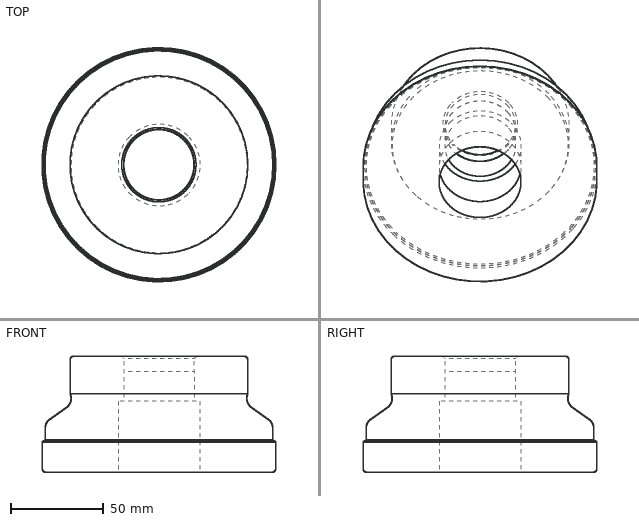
import cadquery as cq
import math

TOTAL_HEIGHT = 63.0
BASE_HEIGHT = 17.0

BASE_RADIUS = 63.5
BASE_TOP_CHAMFER = 0.8
BASE_BOTTOM_FILLET = 2.0

RIM_RADIUS = 61.8
FOOT_FLARE = 0.6
RIM_TOP_Z = 24.0
SHOULDER_RADIUS = 5.7
CONE_ANGLE = math.radians(35.4)
THROAT_RADIUS = 47.8
THROAT_FILLET = 6.1
NECK_RADIUS = 48.3
NECK_FILLET = 1.9

BORE_RADIUS = 19.0
BORE_CHAMFER = 1.1
LIP_DEPTH = 8.3
BORE_RELIEF = 0.1
CAVITY_RADIUS = 22.2
CAVITY_TOP_Z = 38.9


def make_base():
    """Plain ring with a chamfered top edge and a rounded bottom edge."""
    ring = cq.Workplane("XY").circle(BASE_RADIUS).extrude(BASE_HEIGHT)
    ring = ring.faces(">Z").edges().chamfer(BASE_TOP_CHAMFER)
    ring = ring.faces("<Z").edges().fillet(BASE_BOTTOM_FILLET)
    return ring.cut(cq.Workplane("XY").circle(CAVITY_RADIUS).extrude(BASE_HEIGHT))


def arc_point(center, radius, angle):
    """Point on a profile arc, with the angle measured from the radial axis."""
    return (center[0] + radius * math.cos(angle), center[1] + radius * math.sin(angle))


def make_cap_outside():
    """Revolved neck, concave throat, conical flank, rounded rim and flared foot."""
    flank_normal = math.pi / 2 - CONE_ANGLE
    shoulder_center = (RIM_RADIUS - SHOULDER_RADIUS, RIM_TOP_Z)
    shoulder_end = arc_point(shoulder_center, SHOULDER_RADIUS, flank_normal)
    shoulder_mid = arc_point(shoulder_center, SHOULDER_RADIUS, flank_normal / 2)

    throat_center_r = THROAT_RADIUS + THROAT_FILLET
    throat_start_r = throat_center_r - THROAT_FILLET * math.cos(flank_normal)
    throat_start_z = shoulder_end[1] + (shoulder_end[0] - throat_start_r) * math.tan(CONE_ANGLE)
    throat_center = (throat_center_r, throat_start_z + THROAT_FILLET * math.sin(flank_normal))
    throat_mid = (THROAT_RADIUS, throat_center[1])
    neck_bottom_z = throat_center[1] + math.sqrt(THROAT_FILLET**2 - (throat_center_r - NECK_RADIUS) ** 2)

    profile = (
        cq.Workplane("XZ")
        .moveTo(0, BASE_HEIGHT)
        .lineTo(RIM_RADIUS + FOOT_FLARE, BASE_HEIGHT)
        .lineTo(RIM_RADIUS, BASE_HEIGHT + FOOT_FLARE)
        .lineTo(RIM_RADIUS, RIM_TOP_Z)
        .threePointArc(shoulder_mid, shoulder_end)
        .lineTo(throat_start_r, throat_start_z)
        .threePointArc(throat_mid, (NECK_RADIUS, neck_bottom_z))
        .lineTo(NECK_RADIUS, TOTAL_HEIGHT)
        .lineTo(0, TOTAL_HEIGHT)
        .close()
    )
    outside = profile.revolve(360, (0, 0, 0), (0, 1, 0))
    return outside.faces(">Z").edges().fillet(NECK_FILLET)


def make_cap_bore():
    """Bore with a narrow lip at the top and a wider cavity underneath."""
    lip_z = TOTAL_HEIGHT - LIP_DEPTH
    relieved_radius = BORE_RADIUS + BORE_RELIEF
    profile = (
        cq.Workplane("XZ")
        .moveTo(0, BASE_HEIGHT)
        .lineTo(CAVITY_RADIUS, BASE_HEIGHT)
        .lineTo(CAVITY_RADIUS, CAVITY_TOP_Z)
        .lineTo(relieved_radius, CAVITY_TOP_Z)
        .lineTo(relieved_radius, lip_z)
        .lineTo(BORE_RADIUS, lip_z)
        .lineTo(BORE_RADIUS, TOTAL_HEIGHT - BORE_CHAMFER)
        .lineTo(BORE_RADIUS + BORE_CHAMFER, TOTAL_HEIGHT)
        .lineTo(0, TOTAL_HEIGHT)
        .close()
    )
    return profile.revolve(360, (0, 0, 0), (0, 1, 0))


base = make_base()
cap = make_cap_outside().cut(make_cap_bore())

result = cq.Compound.makeCompound([base.val(), cap.val()])